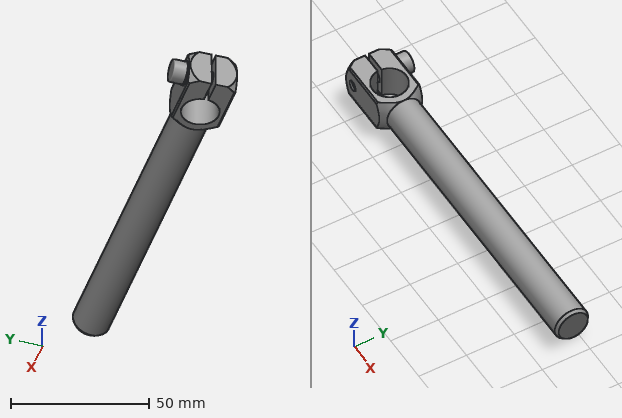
import cadquery as cq
import math

total_length = 146.0
total_width = 23.7
rod_diameter = 14.0
rod_radius = rod_diameter / 2

block_length = 26.0
block_width = 18.1
block_height = rod_diameter
edge_chamfer = 0.6
front_face_radius = 8.8
bore_diameter = rod_diameter
bore_x = 15.9
slot_width = 1.6

rod_end_chamfer = 1.3
rod_end_step = 0.9

screw_x = 5.1
shank_diameter = 5.0
tip_diameter = 4.2
tip_recess = 0.9
clearance_diameter = 5.3
head_diameter = 8.5
head_fillet = 0.5
washer_diameter = 9.0
washer_thickness = 0.6

side_y = block_width / 2
head_base_y = side_y + washer_thickness
screw_top_y = total_width - side_y
slot_side_y = slot_width / 2


def y_cylinder(diameter, start_y, end_y):
    """Cylinder along Y at the clamp screw position."""
    start = cq.Vector(screw_x, start_y, 0)
    return cq.Workplane(cq.Solid.makeCylinder(diameter / 2, end_y - start_y, start, cq.Vector(0, 1, 0)))


def turned_envelope():
    """Solid of revolution about X that cuts the block corners with 45 degree cones."""
    corner_radius = math.hypot(block_width, block_height) / 2
    profile = [
        (0, 0),
        (0, front_face_radius),
        (corner_radius - front_face_radius, corner_radius),
        (block_length - (corner_radius - rod_radius), corner_radius),
        (block_length, rod_radius),
        (block_length, 0),
    ]
    return cq.Workplane("XY").polyline(profile).close().revolve(360, (0, 0, 0), (1, 0, 0))


def make_clamp():
    """Block with rounded ends, cross bore, clamping slot and screw hole."""
    block = cq.Workplane("XY").box(block_length, block_width, block_height)
    block = block.translate((block_length / 2, 0, 0))
    block = block.edges("|X").chamfer(edge_chamfer)
    block = block.intersect(turned_envelope())
    bore = cq.Workplane("XY").center(bore_x, 0).circle(bore_diameter / 2).extrude(block_height, both=True)
    slot = cq.Workplane("XY").box(bore_x, slot_width, block_height).translate((bore_x / 2, 0, 0))
    clearance_hole = y_cylinder(clearance_diameter, 0, side_y)
    threaded_hole = y_cylinder(tip_diameter, -side_y, 0)
    return block.cut(bore).cut(slot).cut(clearance_hole).cut(threaded_hole)


def make_rod():
    """Round rod butted against the clamp, chamfered at its free end."""
    rod = cq.Workplane("YZ", origin=(block_length, 0, 0)).circle(rod_radius)
    rod = rod.extrude(total_length - block_length)
    return rod.faces(">X").chamfer(rod_end_chamfer, rod_end_step)


def make_arm():
    """Clamp and rod as one solid."""
    return make_clamp().union(make_rod())


def make_washer():
    """Flat ring between the screw head and the block."""
    washer = y_cylinder(washer_diameter, side_y, head_base_y)
    return washer.cut(y_cylinder(clearance_diameter, side_y, head_base_y))


def make_screw():
    """Rounded cylinder head, shank down to the far side of the slot, narrower tip in the far jaw."""
    head = y_cylinder(head_diameter, head_base_y, screw_top_y)
    head = head.faces(">Y").edges().fillet(head_fillet)
    shank = y_cylinder(shank_diameter, -slot_side_y, head_base_y)
    tip = y_cylinder(tip_diameter, -side_y + tip_recess, -slot_side_y)
    return head.union(shank).union(tip)


arm = make_arm()
washer = make_washer()
screw = make_screw()

result = cq.Compound.makeCompound([arm.val(), washer.val(), screw.val()])